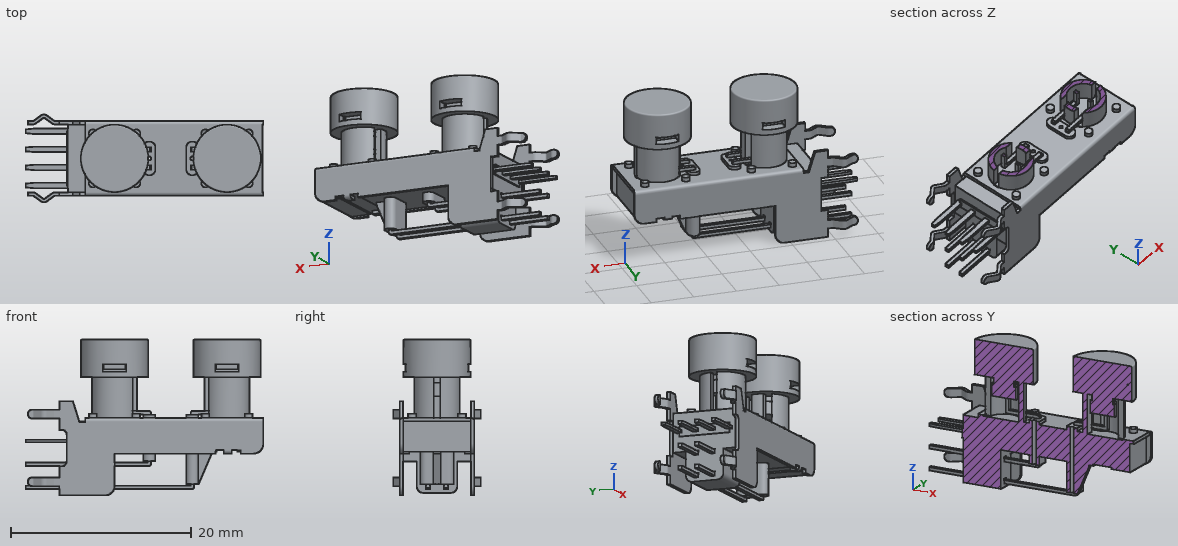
import cadquery as cq
import math


length = 26.38
overall_width = 9.75
overall_height = 17.3
bracket_width = 8.3
sheet = 0.4
plate_top = 8.6
inner_half = bracket_width / 2 - sheet
deck_z = plate_top - sheet

button_x = (9.87, 22.35)
lead_pitch = 2.0
lead_offset_y = lead_pitch / 2
end_step = 0.08
full_round = 0.99

bracket_front = 3.75
ear_top = 10.47
ear_width = 1.5
ear_foot_x = 6.0
deck_front = 6.6
relief_z = 8.13
leg_back = 9.87
leg_radius = 1.0
wall_bottom = 4.62
wall_radius = 1.1
front_notch_x = 4.55
front_notch_z = (3.25, 7.25)
front_notch_radius = 0.5
bottom_notch_x = (21.08, 23.85)
bottom_notch_top = wall_bottom + sheet
clip_x = (21.97, 22.87)
clip_length = 1.05

arm_height = 1.0
arm_tip_x = 0.25
arm_centers_z = (1.5, 9.02)
arm_peak_x = 2.03
arm_slope = math.radians(36)
arm_inner_bend = 0.15
arm_outer_bend = arm_inner_bend + sheet

housing_front = 4.7
housing_back = 25.85
head_back = 9.5
head_bottom = 3.75
foot_width = 4.5
foot_bottom = 0.26
foot_radius = 0.75
body_bottom = 4.83
recess_x = (21.18, 23.48)
strip_front = 4.55
strip_width = 6.01
strip_z = (5.5, 6.62)

cap_diameter = 7.5
cap_bottom = 13.1
cap_round = 0.18
window_width = 2.65
window_z = (13.75, 14.55)
window_depth = 1.25
inner_window_width = 2.35
inner_window_bottom = 13.98
inner_window_depth = 1.5
stem_diameter = 5.1
stem_bore = 3.75
stem_seat_depth = 0.1
stem_floor = plate_top - stem_seat_depth
key_slot_width = 0.7
lead_opening_width = 3.1
lead_post_width = 1.42
led_bottom = 10.97
led_shoulder = 12.48
led_flange_diameter = 3.1
led_dome_diameter = 2.65
peg_diameter = 0.9
peg_top = 9.07
peg_offset_x = 2.4
peg_offset_y = 2.77

sleeve_offset = 3.85
sleeve_thickness = 1.37
sleeve_length = 3.75
sleeve_top = 8.97
sleeve_bottoms = (3.8, 1.25)
sleeve_hole = 0.4
rib_thickness = 0.8
rib_top_x = 20.65
rib_bottom_x = 19.2
lead_width = 0.47
lead_thickness = 0.4
lead_bend = 0.15
lead_clearance = 0.13
lead_pin_z = (3.45, 0.9)

pin_z = 6.05
pin_thickness = 0.32
pin_width = 0.63
pin_tip_width = 0.45
pin_taper = 0.95
pin_offsets_y = (-1.5 * lead_pitch, -0.5 * lead_pitch, 0.5 * lead_pitch, 1.5 * lead_pitch)


def block(x_range, y_range, z_range):
    """Axis-aligned box from its limits."""
    size = [high - low for low, high in (x_range, y_range, z_range)]
    corner = (x_range[0], y_range[0], z_range[0])
    return cq.Workplane("XY").box(*size, centered=False).translate(corner)


def centered_block(x_range, width, z_range):
    """Box that is symmetric about Y = 0."""
    return block(x_range, (-width / 2, width / 2), z_range)


def cylinder(x, y, diameter, bottom, top):
    """Vertical cylinder."""
    return cq.Workplane("XY", origin=(x, y, bottom)).circle(diameter / 2).extrude(top - bottom)


def side_wall_slab():
    """Both side walls in one full-width slab, without the front notch."""
    half = bracket_width / 2
    outline = [
        (bracket_front, 0),
        (leg_back, 0),
        (leg_back, wall_bottom),
        (bottom_notch_x[0], wall_bottom),
        (bottom_notch_x[0], bottom_notch_top),
        (bottom_notch_x[1], bottom_notch_top),
        (bottom_notch_x[1], wall_bottom),
        (length, wall_bottom),
        (length, plate_top),
        (deck_front, plate_top),
        (deck_front, relief_z),
        (ear_foot_x, relief_z),
        (bracket_front + ear_width, ear_top),
        (bracket_front, ear_top),
    ]
    slab = cq.Workplane("XZ").polyline(outline).close().extrude(half, both=True)
    leg_corner = cq.selectors.NearestToPointSelector((leg_back, 0, 0))
    slab = slab.edges(leg_corner).fillet(leg_radius)
    end_corner = cq.selectors.NearestToPointSelector((length, 0, wall_bottom))
    return slab.edges(end_corner).fillet(wall_radius)


def front_notch():
    """Notch in the front edge; only the -Y wall has rounded corners."""
    x_range = (bracket_front, front_notch_x)
    half = bracket_width / 2
    rounded = block(x_range, (-half, 0), front_notch_z).edges("|Y and >X").fillet(front_notch_radius)
    return rounded.union(block(x_range, (0, half), front_notch_z))


def make_bracket():
    """Folded channel: two side walls joined by a deck with rounded bends."""
    slab = side_wall_slab()
    deck_region = cq.selectors.BoxSelector(
        (deck_front, -overall_width, deck_z),
        (length, overall_width, plate_top + sheet),
    )
    slab = slab.edges("|X").edges(deck_region).fillet(sheet)
    channel = centered_block((0, length), 2 * inner_half, (0, deck_z))
    front_gap = centered_block((0, deck_front), 2 * inner_half, (0, overall_height))
    end_gap = centered_block((length - end_step, length), 2 * inner_half, (0, overall_height))
    return slab.cut(channel).cut(front_gap).cut(end_gap).cut(front_notch())


def make_clips():
    """Tabs in the bottom notches, bent inward under the housing."""
    clips = centered_block(clip_x, bracket_width, (wall_bottom, bottom_notch_top))
    clips = clips.edges("|X and <Z").fillet(sheet * full_round)
    gap_width = bracket_width - 2 * clip_length
    return clips.cut(centered_block(clip_x, gap_width, (wall_bottom, bottom_notch_top)))


def make_snap_arm(center_z):
    """Springy arm on the +Y wall with an outward bump and a round tip."""
    outer = bracket_width / 2
    outer_peak = overall_width / 2 + arm_outer_bend * (1 / math.cos(arm_slope) - 1)
    inner_peak = outer_peak - sheet / math.cos(arm_slope)
    outer_reach = (outer_peak - outer) / math.tan(arm_slope)
    inner_reach = (inner_peak - inner_half) / math.tan(arm_slope)
    points = [
        (bracket_front, outer),
        (arm_peak_x + outer_reach, outer),
        (arm_peak_x, outer_peak),
        (arm_peak_x - outer_reach, outer),
        (arm_tip_x, outer),
        (arm_tip_x, inner_half),
        (arm_peak_x - inner_reach, inner_half),
        (arm_peak_x, inner_peak),
        (arm_peak_x + inner_reach, inner_half),
        (bracket_front, inner_half),
    ]
    arm = cq.Workplane("XY", origin=(0, 0, center_z - arm_height / 2))
    arm = arm.polyline(points).close().extrude(arm_height)
    arm = arm.edges("|Y and <X").fillet(arm_height / 2 * full_round)
    bends = (
        (arm_peak_x, outer_peak, arm_outer_bend),
        (arm_peak_x, inner_peak, arm_inner_bend),
        (arm_peak_x - outer_reach, outer, arm_inner_bend),
        (arm_peak_x + outer_reach, outer, arm_inner_bend),
        (arm_peak_x - inner_reach, inner_half, arm_outer_bend),
        (arm_peak_x + inner_reach, inner_half, arm_outer_bend),
    )
    for x, y, radius in bends:
        corner = cq.selectors.NearestToPointSelector((x, y, center_z))
        arm = arm.edges("|Z").edges(corner).fillet(radius)
    return arm


def make_housing():
    """Plastic body under the deck, with the deeper front head and its foot."""
    width = 2 * inner_half
    housing = centered_block((housing_front, housing_back), width, (body_bottom, deck_z))
    housing = housing.cut(centered_block(recess_x, width, (body_bottom, bottom_notch_top)))
    head = centered_block((housing_front, head_back), width, (head_bottom, deck_z))
    foot = centered_block((housing_front, head_back), foot_width, (foot_bottom, head_bottom))
    foot = foot.edges("|X and <Z").fillet(foot_radius)
    for y in (-lead_offset_y, lead_offset_y):
        for z in lead_pin_z:
            y_range = (y - lead_width / 2, y + lead_width / 2)
            hole = block((housing_front, head_back), y_range, (z, z + lead_thickness / 2 + lead_clearance))
            head = head.cut(hole)
            foot = foot.cut(hole)
    strip = centered_block((strip_front, housing_front), strip_width, strip_z)
    return housing.union(head).union(foot).union(strip)


def make_stem(x, side):
    """Hollow stem, open toward its leads (side = +1 or -1) around a central post."""
    span = (stem_floor, cap_bottom)
    reach = stem_diameter
    stem = cylinder(x, 0, stem_diameter, *span).cut(cylinder(x, 0, stem_bore, *span))
    key_slot = centered_block(sorted((x, x - side * reach)), key_slot_width, span)
    opening = centered_block(sorted((x, x + side * reach)), lead_opening_width, span)
    post = centered_block(sorted((x, x + side * reach)), lead_post_width, span)
    return stem.cut(key_slot).cut(opening.cut(post))


def make_cap(x):
    """Round cap with a stepped window on its -Y and +Y sides."""
    radius = cap_diameter / 2
    cap = cylinder(x, 0, cap_diameter, cap_bottom, overall_height).faces(">Z").edges().fillet(cap_round)
    window = block(
        (x - window_width / 2, x + window_width / 2), (-radius, -radius + window_depth), window_z
    )
    inner_window = block(
        (x - inner_window_width / 2, x + inner_window_width / 2),
        (-radius, -radius + inner_window_depth),
        (inner_window_bottom, window_z[1]),
    )
    pocket = window.union(inner_window)
    return cap.cut(pocket).cut(pocket.mirror("XZ"))


def make_button(x, side):
    """Cap, stem, hidden LED and the four pegs around the stem."""
    button = make_stem(x, side).union(make_cap(x))
    button = button.union(cylinder(x, 0, led_flange_diameter, led_bottom, led_shoulder))
    button = button.union(cylinder(x, 0, led_dome_diameter, led_shoulder, cap_bottom))
    for dx in (-peg_offset_x, peg_offset_x):
        for dy in (-peg_offset_y, peg_offset_y):
            button = button.union(cylinder(x + dx, dy, peg_diameter, deck_z, peg_top))
    return button


def make_sleeve(x, bottom):
    """Obround sleeve that carries two leads down through the deck."""
    sleeve = cq.Workplane("XY", origin=(x, 0, bottom))
    return sleeve.slot2D(sleeve_length, sleeve_thickness, 90).extrude(sleeve_top - bottom)


def make_rib(x, bottom):
    """Triangular rib behind the long sleeve."""
    points = [
        (x, bottom),
        (rib_bottom_x, bottom),
        (rib_top_x, wall_bottom),
        (rib_top_x, body_bottom),
        (x, body_bottom),
    ]
    return cq.Workplane("XZ").polyline(points).close().extrude(rib_thickness / 2, both=True)


def make_lead(led_x, sleeve_x, side, y, bottom_z):
    """LED lead: down from the LED, across to the sleeve, down, then forward to its tip."""
    half = lead_thickness / 2
    top_z = sleeve_top + lead_thickness
    y_range = (y - lead_width / 2, y + lead_width / 2)
    drop = block((led_x - half, led_x + half), y_range, (sleeve_top, led_bottom))
    outer_x = sleeve_x + side * half
    across = block(sorted((led_x, outer_x)), y_range, (sleeve_top, top_z))
    across = across.edges("|Y and >Z").edges(">X" if side > 0 else "<X").chamfer(lead_bend)
    down = block((sleeve_x - half, sleeve_x + half), y_range, (bottom_z - half, sleeve_top))
    forward = block((0, sleeve_x + half), y_range, (bottom_z - half, bottom_z + half))
    lower = down.union(forward).edges("|Y and >X and <Z").chamfer(lead_bend)
    return drop.union(across).union(lower)


def make_pin(y):
    """Flat switch pin with a tapered tip."""
    half = pin_width / 2
    tip = pin_tip_width / 2
    points = [
        (0, -tip),
        (pin_taper, -half),
        (housing_front, -half),
        (housing_front, half),
        (pin_taper, half),
        (0, tip),
    ]
    pin = cq.Workplane("XY", origin=(0, y, pin_z - pin_thickness / 2))
    return pin.polyline(points).close().extrude(pin_thickness)


part = make_bracket().union(make_clips()).union(make_housing())

for arm_z in arm_centers_z:
    snap_arm = make_snap_arm(arm_z)
    part = part.union(snap_arm).union(snap_arm.mirror("XZ"))

for pin_y in pin_offsets_y:
    part = part.union(make_pin(pin_y))

lead_sides = (1, -1)
for center_x, lead_side, sleeve_bottom, lead_z in zip(button_x, lead_sides, sleeve_bottoms, lead_pin_z):
    sleeve_center = center_x + lead_side * sleeve_offset
    part = part.cut(cylinder(center_x, 0, stem_diameter, stem_floor, plate_top))
    part = part.union(make_button(center_x, lead_side))
    part = part.union(make_sleeve(sleeve_center, sleeve_bottom))
    part = part.cut(cylinder(sleeve_center, 0, sleeve_hole, 0, sleeve_top))
    for lead_y in (-lead_offset_y, lead_offset_y):
        part = part.union(make_lead(center_x, sleeve_center, lead_side, lead_y, lead_z))

rib_start = button_x[1] - sleeve_offset + sleeve_hole
part = part.union(make_rib(rib_start, sleeve_bottoms[1]))

result = part